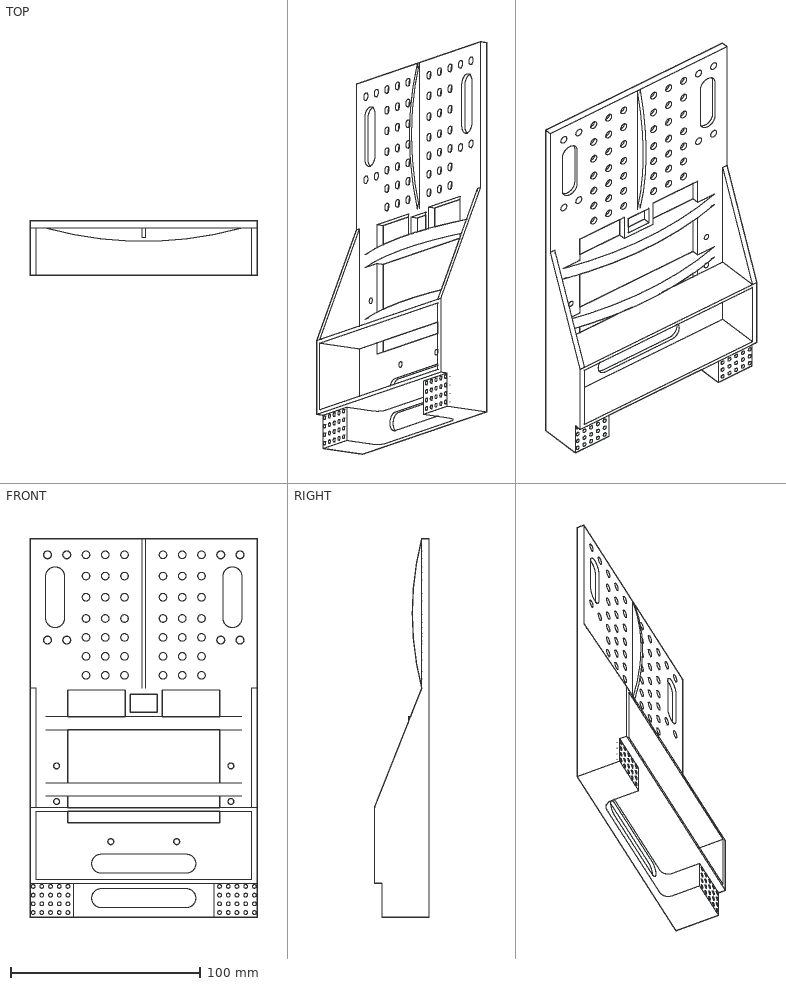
import cadquery as cq

width = 120.0
height = 200.0
depth = 29.0
plate_thickness = 4.0

wall_thickness = 3.0
wall_top = 121.0
box_bottom = 18.0
box_top = 58.0
shelf_thickness = 2.0
shelf_depth = depth - plate_thickness

foot_setback = 4.0
foot_depth = depth - foot_setback
foot_width = 23.0
foot_fillet = 5.0

window_width = 80.0
window_bottom = 50.0
window_top = 120.0
frame_outer_width = 19.5
frame_inner_width = 14.0
frame_inner_bottom = 108.5
frame_inner_top = 117.8

bar_length = 103.0
bar_height = 7.0
bar_bulge = 7.0
upper_bar_bottom = 99.0
lower_bar_bottom = 64.0

rib_thickness = 2.0
rib_bulge = 5.0

peg_diameter = 4.0
peg_depth = 2.0
peg_outer_x = 50.8
columns_per_side = 5
peg_pitch = peg_outer_x / columns_per_side
blind_columns = 3
top_row_z = 191.5
wide_row_pitch = 11.2
wide_rows = 3
bottom_row_z = 127.8
close_row_pitch = 10.0
close_rows = 4
through_row_spacing = 45.0

screw_diameter = 3.0
side_screw_x = 46.0
side_screw_heights = (61.2, 80.0)
box_screw_x = 17.5
box_screw_z = 40.0

pocket_width = 10.0
pocket_depth = 2.0
upright_pocket_length = 32.0
upright_pocket_x = 46.8
upright_pocket_z = 169.0
level_pocket_length = 55.0
level_pocket_heights = (10.2, 28.5)

grip_diameter = 2.0
grip_depth = 2.0
grip_pitch = 4.5
grip_columns = 5
grip_rows = 4
grip_inner_x = 40.0
grip_bottom_z = 2.5


def block(size_x, size_y, bottom, top, back=0.0):
    """Box centred on X, reaching from Y = -back toward -Y."""
    solid = cq.Workplane("XY").box(size_x, size_y, top - bottom, centered=(True, False, False))
    return solid.translate((0, -back - size_y, bottom))


def front_plane(distance):
    """Plane facing -Y, at the given distance in front of the back face."""
    return cq.Workplane("XZ", origin=(0, -distance, 0))


def mirrored(points):
    """The points together with their mirror images across X = 0."""
    return [(side * x, z) for side in (-1, 1) for x, z in points]


def holes(points, diameter, hole_depth, distance=plate_thickness):
    """Round cutters that start at a front-facing surface and run back into the part."""
    return front_plane(distance).pushPoints(points).circle(diameter / 2).extrude(-hole_depth)


def pockets(points, length, angle):
    """Round-ended cutters in the front of the plate."""
    outline = front_plane(plate_thickness).pushPoints(points).slot2D(length, pocket_width, angle)
    return outline.extrude(-pocket_depth)


def make_plate():
    plate = block(width, plate_thickness, 0, height)
    window = block(window_width, plate_thickness, window_bottom, window_top)
    frame = block(frame_outer_width, plate_thickness, upper_bar_bottom, window_top)
    opening = block(frame_inner_width, plate_thickness, frame_inner_bottom, frame_inner_top)
    return plate.cut(window).union(frame.cut(opening))


def make_walls():
    """Both side walls, cut from one full-width block with a sloping front edge."""
    profile = (
        cq.Workplane("YZ", origin=(-width / 2, 0, 0))
        .polyline([
            (0, 0),
            (-foot_depth, 0),
            (-foot_depth, box_bottom),
            (-depth, box_bottom),
            (-depth, box_top),
            (-plate_thickness, wall_top),
            (0, wall_top),
        ])
        .close()
        .extrude(width)
    )
    return profile.cut(block(width - 2 * wall_thickness, depth, 0, wall_top))


def make_shelves():
    lower = block(width, shelf_depth, box_bottom, box_bottom + shelf_thickness, back=plate_thickness)
    upper = block(width, shelf_depth, box_top - shelf_thickness, box_top, back=plate_thickness)
    return lower.union(upper)


def make_feet():
    """Two feet joined to the plate by rounded inner corners."""
    gap = block(width - 2 * foot_width, depth, 0, box_bottom, back=plate_thickness)
    gap = gap.edges("|Z and >Y").fillet(foot_fillet)
    return block(width, foot_depth, 0, box_bottom).cut(gap)


def make_bar(bottom):
    half = bar_length / 2
    return (
        cq.Workplane("XY", origin=(0, 0, bottom))
        .moveTo(-half, -plate_thickness)
        .threePointArc((0, -plate_thickness - bar_bulge), (half, -plate_thickness))
        .lineTo(window_width / 2, -plate_thickness)
        .lineTo(window_width / 2, 0)
        .lineTo(-window_width / 2, 0)
        .lineTo(-window_width / 2, -plate_thickness)
        .close()
        .extrude(bar_height)
    )


def make_rib():
    middle = (wall_top + height) / 2
    return (
        cq.Workplane("YZ", origin=(-rib_thickness / 2, 0, 0))
        .moveTo(-plate_thickness, wall_top)
        .threePointArc((-plate_thickness - rib_bulge, middle), (-plate_thickness, height))
        .close()
        .extrude(rib_thickness)
    )


def make_peg_holes():
    columns = [peg_pitch * (i + 1) for i in range(columns_per_side)]
    rows = [top_row_z - wide_row_pitch * i for i in range(wide_rows)]
    rows += [bottom_row_z + close_row_pitch * i for i in range(close_rows)]
    through_rows = (top_row_z, top_row_z - through_row_spacing)
    blind = [(x, z) for x in columns[:blind_columns] for z in rows]
    through = [(x, z) for x in columns[blind_columns:] for z in through_rows]
    return (
        holes(mirrored(blind), peg_diameter, peg_depth)
        .union(holes(mirrored(through), peg_diameter, plate_thickness))
    )


def make_screw_holes():
    points = [(side_screw_x, z) for z in side_screw_heights]
    points.append((box_screw_x, box_screw_z))
    return holes(mirrored(points), screw_diameter, plate_thickness)


def make_pockets():
    upright = pockets(mirrored([(upright_pocket_x, upright_pocket_z)]), upright_pocket_length, 90)
    level = pockets([(0, z) for z in level_pocket_heights], level_pocket_length, 0)
    return upright.union(level)


def make_grip_holes():
    points = [
        (grip_inner_x + grip_pitch * column, grip_bottom_z + grip_pitch * row)
        for column in range(grip_columns)
        for row in range(grip_rows)
    ]
    return holes(mirrored(points), grip_diameter, grip_depth, distance=foot_depth)


result = (
    make_plate()
    .union(make_walls())
    .union(make_shelves())
    .union(make_feet())
    .union(make_bar(upper_bar_bottom))
    .union(make_bar(lower_bar_bottom))
    .union(make_rib())
    .cut(make_peg_holes())
    .cut(make_screw_holes())
    .cut(make_pockets())
    .cut(make_grip_holes())
)